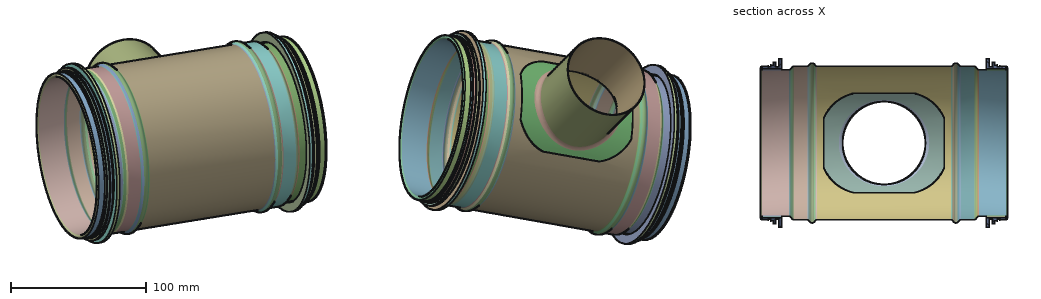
import cadquery as cq
import math

wall = 0.5

tube_radius = 124.1 / 2
tube_half_length = 183.0 / 2

groove_radius = 119.2 / 2
groove_ramp_start = 21.7
groove_foot_round = 1.0
groove_crest_round = 1.8
groove_depth = tube_radius - groove_radius
groove_bore_radius = groove_radius - wall

forming_inner_radius = groove_bore_radius - 3 * wall
forming_core_radius = groove_bore_radius - wall

hem_length = 6.0
hem_bend_radius = (tube_radius - groove_bore_radius) / 2
hem_mid_radius = (tube_radius + groove_bore_radius) / 2
hem_inner_radius = tube_radius - wall

bead_position = 38.4
bead_crest_radius = 64.3
bead_round = bead_crest_radius - tube_radius
bead_foot_round = 1.0
bead_apex_height = bead_round * math.sqrt(2)

gasket_start = hem_bend_radius
gasket_bore_radius = 120.5 / 2
gasket_base_radius = hem_inner_radius
gasket_end = 16.0
step_radius = 62.8
step_start = 7.7
small_lip_radius = 129.5 / 2
small_lip_start = 9.5
small_lip_end = 11.4
large_lip_radius = 134.5 / 2
large_lip_start = 13.5

branch_radius = 62.0 / 2
branch_reach = 183.6 - large_lip_radius
branch_outer_fillet = 3.7
branch_inner_fillet = 3.0
saddle_half_length = 44.5
saddle_half_height = 36.7
saddle_flat_half_length = 22.4
saddle_flat_half_height = 18.5
saddle_corner_radius = 31.2


def end_corners():
    """Corners (radius, y, rounding) of the sheet surface, from the +Y end to the bead nearest it."""
    end = tube_half_length
    ramp = end - groove_ramp_start
    bead = end - bead_position
    return [
        (groove_radius, end, 0),
        (groove_radius, ramp, groove_foot_round),
        (tube_radius, ramp - groove_depth, groove_crest_round),
        (tube_radius, bead + bead_apex_height, bead_foot_round),
        (tube_radius + bead_apex_height, bead, bead_round),
        (tube_radius, bead - bead_apex_height, bead_foot_round),
    ]


def round_corner(outline, radius, y, rounding):
    """Outline with the corner at (radius, y) filleted."""
    corner = cq.Vector(radius, y, 0)
    vertex = min(outline.Vertices(), key=lambda v: (v.Center() - corner).Length)
    return outline.fillet2D(rounding, [vertex])


def revolve_about_y(outline):
    axis_start = cq.Vector(0, 0, 0)
    axis_end = cq.Vector(0, 1, 0)
    return cq.Workplane(obj=cq.Solid.revolve(outline, [], 360, axis_start, axis_end))


def y_cylinder(radius, half_length):
    return cq.Workplane("XZ").circle(radius).extrude(half_length, both=True)


def make_formed_sheet():
    """Wall of the main tube between the hem bends: a thick ring hollowed to the wall thickness."""
    upper = end_corners()
    lower = [(radius, -y, rounding) for radius, y, rounding in reversed(upper)]
    corners = upper + lower
    points = [(radius, y) for radius, y, rounding in corners]
    points.append((forming_inner_radius, -tube_half_length))
    points.append((forming_inner_radius, tube_half_length))
    outline = cq.Workplane("XY").polyline(points).close().val()
    for radius, y, rounding in corners:
        if rounding > 0:
            outline = round_corner(outline, radius, y, rounding)
    cavity_outline = outline.offset2D(-wall, "intersection")[0]

    hollow_ring = revolve_about_y(outline).cut(revolve_about_y(cavity_outline))
    core = y_cylinder(forming_core_radius, tube_half_length)
    kept_length = y_cylinder(tube_radius + bead_apex_height, tube_half_length - hem_bend_radius)
    return hollow_ring.cut(core).intersect(kept_length)


def make_hem(side):
    """Folded sheet at the tube end given by side, +1 or -1."""
    end = side * tube_half_length
    inner_tip = side * (tube_half_length - wall)
    bend_line = side * (tube_half_length - hem_bend_radius)
    hem_edge = side * (tube_half_length - hem_length)
    outline = (
        cq.Workplane("XY")
        .moveTo(groove_bore_radius, bend_line)
        .threePointArc((hem_mid_radius, end), (tube_radius, bend_line))
        .lineTo(tube_radius, hem_edge)
        .lineTo(hem_inner_radius, hem_edge)
        .lineTo(hem_inner_radius, bend_line)
        .threePointArc((hem_mid_radius, inner_tip), (groove_radius, bend_line))
        .close()
    )
    return revolve_about_y(outline.val())


def make_tube():
    tube = make_formed_sheet()
    for side in (-1, 1):
        tube = tube.union(make_hem(side))
    return tube.clean().cut(make_saddle_prism())


def make_saddle_prism():
    """Rounded saddle outline swept from the tube axis out past the tube in -X."""
    long, tall = saddle_half_length, saddle_half_height
    flat_long, flat_tall = saddle_flat_half_length, saddle_flat_half_height
    return (
        cq.Workplane("YZ")
        .moveTo(-flat_long, tall)
        .lineTo(flat_long, tall)
        .radiusArc((long, flat_tall), saddle_corner_radius)
        .lineTo(long, -flat_tall)
        .radiusArc((flat_long, -tall), saddle_corner_radius)
        .lineTo(-flat_long, -tall)
        .radiusArc((-long, -flat_tall), saddle_corner_radius)
        .lineTo(-long, flat_tall)
        .radiusArc((-flat_long, tall), saddle_corner_radius)
        .close()
        .extrude(-branch_reach)
    )


def flared_branch(main_radius, radius, fillet):
    """Solid main cylinder and solid branch, blended along the seam where they meet."""
    main = y_cylinder(main_radius, tube_half_length)
    branch = cq.Workplane("YZ").circle(radius).extrude(-branch_reach)
    joined = main.union(branch)
    seam_box = cq.selectors.BoxSelector(
        (-tube_radius, -branch_radius, -branch_radius),
        (-branch_radius, branch_radius, branch_radius),
    )
    return joined.edges(seam_box).fillet(fillet)


def make_branch_saddle():
    outside = flared_branch(tube_radius, branch_radius, branch_outer_fillet)
    inside = flared_branch(tube_radius - wall, branch_radius - wall, branch_inner_fillet)
    return outside.cut(inside).intersect(make_saddle_prism())


def make_gasket(side):
    """Lipped gasket clamped under the hem at the end given by side, +1 or -1."""
    profile = [
        (gasket_bore_radius, gasket_start),
        (gasket_base_radius, gasket_start),
        (gasket_base_radius, step_start),
        (step_radius, step_start),
        (step_radius, small_lip_start),
        (small_lip_radius, small_lip_start),
        (small_lip_radius, small_lip_end),
        (gasket_base_radius, small_lip_end),
        (gasket_base_radius, large_lip_start),
        (large_lip_radius, large_lip_start),
        (large_lip_radius, gasket_end),
        (gasket_bore_radius, gasket_end),
    ]
    points = [(radius, side * (tube_half_length - depth)) for radius, depth in profile]
    return revolve_about_y(cq.Workplane("XY").polyline(points).close().val())


tube = make_tube()
branch_saddle = make_branch_saddle()
gaskets = [make_gasket(side) for side in (-1, 1)]

result = cq.Compound.makeCompound([
    tube.val(),
    branch_saddle.val(),
    *[gasket.val() for gasket in gaskets],
])